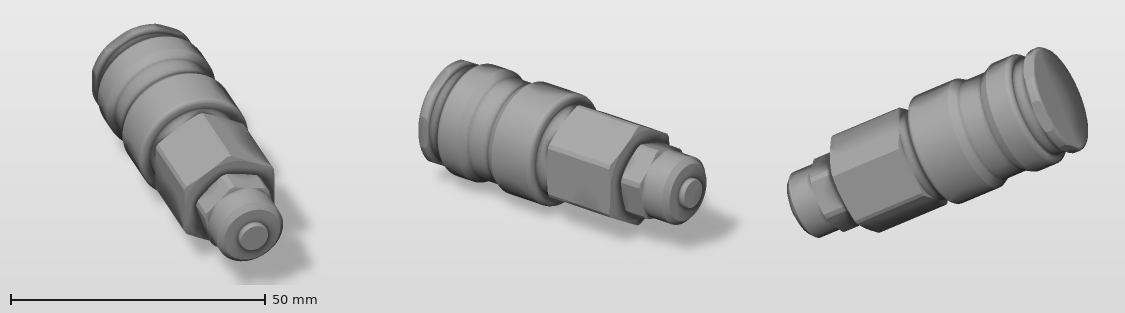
import cadquery as cq
import math


CAP_END = 2.5
SLEEVE_START = 5.15
FRONT_BAND_END = 10.4
WAIST_START = 12.4
WAIST_END = 17.3
REAR_BAND_START = 19.1
SLEEVE_END = 28.6
HEX_START = 31.35
HEX_END = 47.25
NUT_START = 48.15
NUT_HEX_END = 53.2
NUT_END = 59.2
TOTAL_LENGTH = 60.5

CAP_DIA = 22.0
CAP_FLATS = 21.0
CAP_EDGE_RADIUS = 0.8
FRONT_NECK_DIA = 20.0

SLEEVE_DIA = 23.1
WAIST_DIA = 21.0
SLEEVE_FRONT_RADIUS = 1.0
SLEEVE_REAR_RADIUS = 0.9

REAR_NECK_DIA = 18.95
HEX_FLATS = 19.0
HEX_CORNER_DIA = 21.4
HEX_CHAMFER = 0.3

STEM_DIA = 12.0
SPIGOT_DIA = 6.05
SPIGOT_CHAMFER_LENGTH = 0.3
SPIGOT_CHAMFER_DEPTH = 0.2

NUT_FLATS = 14.0
NUT_CORNER_DIA = 15.55
NUT_HEX_CHAMFER = 0.25
NUT_SKIRT_DIA = 14.0
NUT_MOUTH_CHAMFER = 1.1
NUT_TURN = 13.0

SIDES = 6


def cylinder(diameter, start, end):
    """Solid cylinder on the X axis."""
    return cq.Workplane("YZ", origin=(start, 0, 0)).circle(diameter / 2).extrude(end - start)


def hexagon(across_flats, start, end, turn=0.0):
    """Hexagonal prism on the X axis; without a turn, two flats face -Y and +Y."""
    corner_circle = across_flats / math.cos(math.pi / SIDES)
    prism = cq.Workplane("YZ", origin=(start, 0, 0)).polygon(SIDES, corner_circle).extrude(end - start)
    corner_to_z = 90.0
    return prism.rotate((0, 0, 0), (1, 0, 0), corner_to_z + turn)


def cut_corner_hexagon(across_flats, corner_dia, chamfer, start, end, turn=0.0):
    """Hexagon with turned corners and a conical chamfer at both ends, down to the flats."""
    flat_radius = across_flats / 2
    corner_radius = corner_dia / 2
    envelope = (
        cq.Workplane("XY")
        .moveTo(start, 0)
        .lineTo(start, flat_radius)
        .lineTo(start + chamfer, corner_radius)
        .lineTo(end - chamfer, corner_radius)
        .lineTo(end, flat_radius)
        .lineTo(end, 0)
        .close()
        .revolve(360, (0, 0, 0), (1, 0, 0))
    )
    return envelope.intersect(hexagon(across_flats, start, end, turn))


def make_cap():
    """Closed disc with rounded edges and six shallow flats."""
    disc = cylinder(CAP_DIA, 0, CAP_END).edges().fillet(CAP_EDGE_RADIUS)
    return disc.intersect(hexagon(CAP_FLATS, 0, CAP_END))


def make_sleeve():
    """Grip sleeve with two wide bands and a conical step down to its waist."""
    band_radius = SLEEVE_DIA / 2
    waist_radius = WAIST_DIA / 2
    blank = (
        cq.Workplane("XY")
        .moveTo(SLEEVE_START, 0)
        .lineTo(SLEEVE_START, band_radius)
        .lineTo(FRONT_BAND_END, band_radius)
        .lineTo(WAIST_START, waist_radius)
        .lineTo(WAIST_END, waist_radius)
        .lineTo(REAR_BAND_START, band_radius)
        .lineTo(SLEEVE_END, band_radius)
        .lineTo(SLEEVE_END, 0)
        .close()
        .revolve(360, (0, 0, 0), (1, 0, 0))
    )
    rounded = blank.faces("<X").edges().fillet(SLEEVE_FRONT_RADIUS)
    return rounded.faces(">X").edges().fillet(SLEEVE_REAR_RADIUS)


def make_spigot():
    """Hose spigot from the end of the stem to the tip, with a chamfered tip."""
    spigot_radius = SPIGOT_DIA / 2
    return (
        cq.Workplane("XY")
        .moveTo(NUT_HEX_END, 0)
        .lineTo(NUT_HEX_END, spigot_radius)
        .lineTo(TOTAL_LENGTH - SPIGOT_CHAMFER_LENGTH, spigot_radius)
        .lineTo(TOTAL_LENGTH, spigot_radius - SPIGOT_CHAMFER_DEPTH)
        .lineTo(TOTAL_LENGTH, 0)
        .close()
        .revolve(360, (0, 0, 0), (1, 0, 0))
    )


def make_coupling():
    """Coupling body: cap, necks, sleeve, hexagon, stem and spigot in one piece."""
    front_neck = cylinder(FRONT_NECK_DIA, CAP_END, SLEEVE_START)
    rear_neck = cylinder(REAR_NECK_DIA, SLEEVE_END, HEX_START)
    body_hex = cut_corner_hexagon(HEX_FLATS, HEX_CORNER_DIA, HEX_CHAMFER, HEX_START, HEX_END)
    stem = cylinder(STEM_DIA, HEX_END, NUT_HEX_END)
    return (
        make_cap()
        .union(front_neck)
        .union(make_sleeve())
        .union(rear_neck)
        .union(body_hex)
        .union(stem)
        .union(make_spigot())
    )


def make_nut():
    """Union nut: hexagon and round skirt, bored to fit over the stem and the spigot."""
    nut_hex = cut_corner_hexagon(
        NUT_FLATS, NUT_CORNER_DIA, NUT_HEX_CHAMFER, NUT_START, NUT_HEX_END, NUT_TURN
    )
    skirt = cylinder(NUT_SKIRT_DIA, NUT_HEX_END, NUT_END).faces(">X").edges().chamfer(NUT_MOUTH_CHAMFER)
    stem_bore = cylinder(STEM_DIA, NUT_START, NUT_HEX_END)
    spigot_bore = cylinder(SPIGOT_DIA, NUT_HEX_END, NUT_END)
    return nut_hex.union(skirt).cut(stem_bore).cut(spigot_bore)


coupling = make_coupling()
nut = make_nut()

result = cq.Compound.makeCompound([coupling.val(), nut.val()])